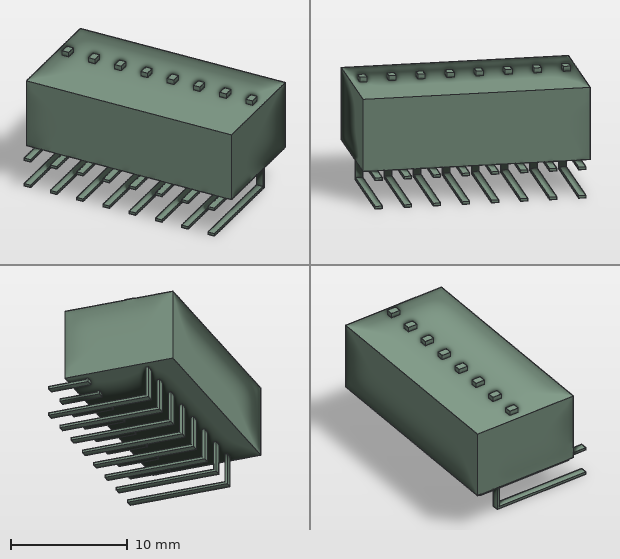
import cadquery as cq

body_length = 19.8
body_depth = 10.0
body_height = 6.44

position_count = 8
pitch = 2.53

actuator_width = 0.63
actuator_depth = 0.87
actuator_height = 0.44
actuator_center_from_back = 4.3

pin_width = 0.63
pin_thickness = 0.24
pin_overhang = 1.8
rear_pin_drop = 2.87
rear_pin_from_back = 2.55
front_pin_drop = 0.34
pin_row_spacing = 5.58
front_pin_from_back = rear_pin_from_back + pin_row_spacing

pin_tip_y = -(body_depth + pin_overhang)


def make_body():
    body = cq.Workplane("XY").box(body_length, body_depth, body_height, centered=(True, True, False))
    return body.translate((0, -body_depth / 2, 0))


def make_actuator(x):
    base = cq.Workplane("XY", origin=(x, -actuator_center_from_back, body_height))
    return base.rect(actuator_width, actuator_depth).extrude(actuator_height)


def make_pin(x, from_back, drop):
    """L-shaped pin whose leg has its rear face at from_back and reaches drop below the housing."""
    leg_rear_y = -from_back
    leg_front_y = leg_rear_y - pin_thickness
    foot_top_z = -drop + pin_thickness
    outline = [
        (leg_rear_y, 0),
        (leg_rear_y, -drop),
        (pin_tip_y, -drop),
        (pin_tip_y, foot_top_z),
        (leg_front_y, foot_top_z),
        (leg_front_y, 0),
    ]
    side_plane = cq.Workplane("YZ", origin=(x - pin_width / 2, 0, 0))
    return side_plane.polyline(outline).close().extrude(pin_width)


result = make_body()
for index in range(position_count):
    position_x = (index - (position_count - 1) / 2) * pitch
    result = result.union(make_actuator(position_x))
    result = result.union(make_pin(position_x, rear_pin_from_back, rear_pin_drop))
    result = result.union(make_pin(position_x, front_pin_from_back, front_pin_drop))